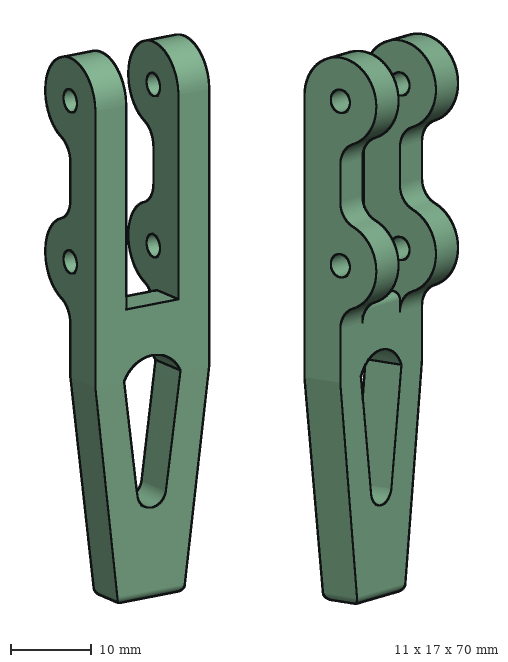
import cadquery as cq
import math

height = 70.0
width = 17.0
lug_radius = 5.5

arm_thickness = 4.6
hole_diameter = 2.95
hole_spacing = 20.8
neck_fillet = 3.0
slot_floor_z = 38.2
floor_edge_radius = 1.0

bend_z = 28.85
tip_width = 9.8
tip_depth = 5.25
tip_fillet = 1.1

window_top_z = 31.6
window_shoulder_z = 28.9
window_shoulder_half = 4.2
window_heel_z = 13.6
window_heel_half = 2.1
window_bottom_z = 11.9

upper_z = height - lug_radius
lower_z = upper_z - hole_spacing
lug_centers = [(0, upper_z), (0, lower_z)]

center_distance = lug_radius + neck_fillet
fillet_rise = math.sqrt(center_distance**2 - neck_fillet**2)
touch_x = -neck_fillet * lug_radius / center_distance
touch_rise = fillet_rise * lug_radius / center_distance


def along_y(sketch):
    """Extrude an XZ profile across the full width, centred on Y = 0."""
    return sketch.extrude(width / 2, both=True)


def neck_midpoint(lug_z, side):
    """Middle of the neck fillet above (side = 1) or below (side = -1) a lug."""
    half_turn = math.atan2(fillet_rise, neck_fillet) / 2
    x = -neck_fillet + neck_fillet * math.cos(half_turn)
    z = lug_z + side * (fillet_rise - neck_fillet * math.sin(half_turn))
    return x, z


def side_profile():
    """Solid with the lugs, the necks between them and the handle's depth taper."""
    return along_y(
        cq.Workplane("XZ")
        .moveTo(0, 0)
        .lineTo(tip_depth, 0)
        .lineTo(lug_radius, bend_z)
        .lineTo(lug_radius, upper_z)
        .threePointArc((-lug_radius, upper_z), (touch_x, upper_z - touch_rise))
        .threePointArc(neck_midpoint(upper_z, -1), (0, upper_z - fillet_rise))
        .lineTo(0, lower_z + fillet_rise)
        .threePointArc(neck_midpoint(lower_z, 1), (touch_x, lower_z + touch_rise))
        .threePointArc((-lug_radius, lower_z), (touch_x, lower_z - touch_rise))
        .threePointArc(neck_midpoint(lower_z, -1), (0, lower_z - fillet_rise))
        .close()
    )


def width_envelope():
    """Outline across Y: straight fork, then a handle narrowing to the tip."""
    return (
        cq.Workplane("YZ")
        .polyline([
            (-tip_width / 2, 0),
            (tip_width / 2, 0),
            (width / 2, bend_z),
            (width / 2, height),
            (-width / 2, height),
            (-width / 2, bend_z),
        ])
        .close()
        .extrude(lug_radius, both=True)
    )


def fork_slot():
    """Gap between the arms."""
    return cq.Workplane("XY", origin=(0, 0, slot_floor_z)).rect(
        2 * lug_radius, width - 2 * arm_thickness
    ).extrude(height - slot_floor_z)


def web_front():
    """Front part of the lower lugs that is removed between the arms."""
    return cq.Workplane("XY").box(
        lug_radius, width - 2 * arm_thickness, height, centered=(False, True, False)
    ).translate((-lug_radius, 0, 0))


def handle_window():
    """Teardrop opening through the handle along X."""
    return (
        cq.Workplane("YZ")
        .moveTo(-window_heel_half, window_heel_z)
        .threePointArc((0, window_bottom_z), (window_heel_half, window_heel_z))
        .lineTo(window_shoulder_half, window_shoulder_z)
        .threePointArc((0, window_top_z), (-window_shoulder_half, window_shoulder_z))
        .close()
        .extrude(lug_radius)
    )


body = side_profile().intersect(width_envelope())
body = body.faces("<Z").edges().fillet(tip_fillet)

body = body.cut(web_front()).cut(fork_slot())
floor_edge = cq.selectors.NearestToPointSelector((0, 0, slot_floor_z))
body = body.edges(floor_edge).fillet(floor_edge_radius)

pin_holes = along_y(cq.Workplane("XZ").pushPoints(lug_centers).circle(hole_diameter / 2))
result = body.cut(pin_holes).cut(handle_window())